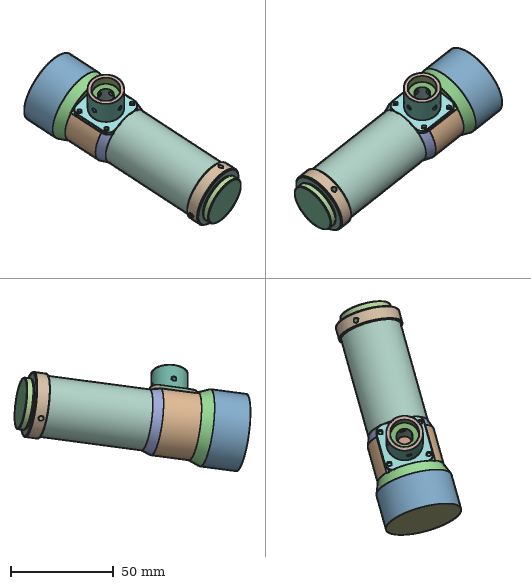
import cadquery as cq
import math

head_end = 18.0
body_start = 24.0
body_end = 43.0
tube_start = 48.0
ring_start = 99.6
ring_end = 106.6
thread_start = 107.3
barrel_end = 110.6

head_radius = 19.0
body_diameter = 33.5
body_radius = body_diameter / 2
tube_radius = 15.0
ring_radius = 16.0
neck_radius = 12.2
thread_radius = 12.7

ring_back_chamfer = 0.3
ring_front_chamfer = 0.5
thread_chamfer = 0.3

plate_side = 24.0
plate_thickness = 2.0
plate_corner_radius = 4.0
plate_top = 13.4
plate_bottom = plate_top - plate_thickness
seat_clearance = 0.1
seat_length = plate_side + 2 * seat_clearance
port_x = tube_start - seat_length / 2
collar_radius = 9.0
collar_top = 28.0
socket_radius = 7.1
socket_depth = 5.0
bore_radius = 4.0
cross_hole_diameter = 2.4
cross_hole_z = 20.1

screw_hole_diameter = 2.3
screw_spacing_x = 16.9
screw_spacing_y = 19.9

set_screw_count = 3
set_screw_diameter = 2.5
set_screw_radius = set_screw_diameter / 2
set_screw_depth = 7.0
drill_tip_angle = 118.0
drill_tip_height = set_screw_radius / math.tan(math.radians(drill_tip_angle / 2))
set_screw_x = 102.5
first_set_screw_angle = 65.0


def make_barrel():
    """Revolve the stepped half profile about the X axis."""
    profile = [
        (0, 0),
        (0, head_radius),
        (head_end, head_radius),
        (body_start, body_radius),
        (body_end, body_radius),
        (tube_start, tube_radius),
        (ring_start, tube_radius),
        (ring_start, ring_radius - ring_back_chamfer),
        (ring_start + ring_back_chamfer, ring_radius),
        (ring_end - ring_front_chamfer, ring_radius),
        (ring_end, ring_radius - ring_front_chamfer),
        (ring_end, neck_radius),
        (thread_start, neck_radius),
        (thread_start, thread_radius),
        (barrel_end - thread_chamfer, thread_radius),
        (barrel_end, thread_radius - thread_chamfer),
        (barrel_end, 0),
    ]
    return cq.Workplane("XY").polyline(profile).close().revolve(360, (0, 0, 0), (1, 0, 0))


def port_plane(z):
    """Horizontal workplane centred on the port axis."""
    return cq.Workplane("XY", origin=(port_x, 0, z))


def make_seat_cut():
    """Slab removed across the barrel to leave a flat seat for the plate."""
    return port_plane(plate_bottom).rect(seat_length, 2 * head_radius).extrude(head_radius)


def make_port():
    """Plate and collar, before drilling."""
    plate = port_plane(plate_bottom).rect(plate_side, plate_side).extrude(plate_thickness)
    plate = plate.edges("|Z").fillet(plate_corner_radius)
    collar = port_plane(plate_top).circle(collar_radius).extrude(collar_top - plate_top)
    return plate.union(collar)


def drill_port(port):
    """Stepped bore, two crossed radial holes and four screw holes."""
    socket = port_plane(collar_top).circle(socket_radius).extrude(-socket_depth)
    bore = port_plane(collar_top).circle(bore_radius).extrude(plate_bottom - collar_top)
    port = port.cut(socket).cut(bore)
    for plane in ("XZ", "YZ"):
        cross_hole = (
            cq.Workplane(plane, origin=(port_x, 0, cross_hole_z))
            .circle(cross_hole_diameter / 2)
            .extrude(2 * collar_radius, both=True)
        )
        port = port.cut(cross_hole)
    screw_holes = (
        port_plane(plate_bottom)
        .rarray(screw_spacing_x, screw_spacing_y, 2, 2)
        .circle(screw_hole_diameter / 2)
        .extrude(plate_thickness)
    )
    return port.cut(screw_holes)


def make_set_screw_hole(angle):
    """Blind radial hole with a conical bottom, at the given angle in degrees."""
    outward = cq.Vector(0, math.cos(math.radians(angle)), math.sin(math.radians(angle)))
    mouth = cq.Vector(set_screw_x, 0, 0) + outward * ring_radius
    tip_base = mouth - outward * set_screw_depth
    shaft = cq.Solid.makeCylinder(set_screw_radius, set_screw_depth, tip_base, outward)
    tip = cq.Solid.makeCone(set_screw_radius, 0, drill_tip_height, tip_base, outward * -1)
    return cq.Workplane(shaft.fuse(tip))


result = make_barrel().cut(make_seat_cut()).union(drill_port(make_port()))
for index in range(set_screw_count):
    hole_angle = first_set_screw_angle + index * 360 / set_screw_count
    result = result.cut(make_set_screw_hole(hole_angle))